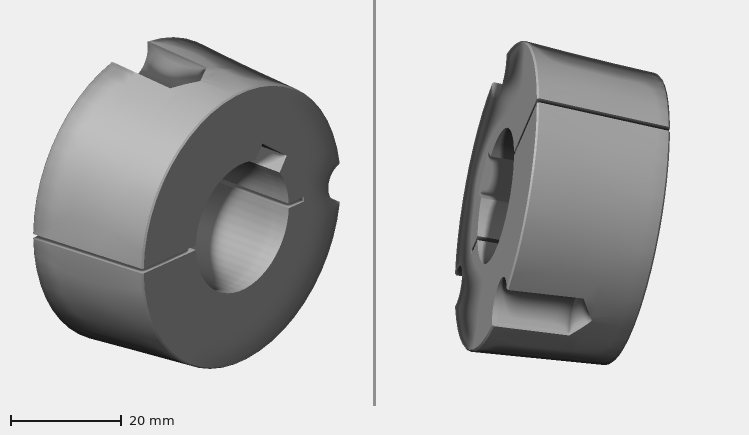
import cadquery as cq
import math

length = 25.4
half_height = 28.4
taper_angle = 4.0
edge_chamfer_length = 0.35
edge_chamfer_depth = 0.3
bore_radius = 12.5

slit_width = 0.9
slit_end_y = 16.6

keyway_width = 7.95
keyway_top = 15.15
keyway_angle = 55.0

screw_radius = 4.95
screw_center_y = -2.4
screw_center_z = 27.0
screw_depth = 14.4
drill_point_angle = 118.0

notch_radius = 3.9
notch_center_y = 27.05

lip_y = screw_center_y + math.sqrt(screw_radius**2 - (half_height - screw_center_z) ** 2)
wide_radius = math.hypot(half_height, lip_y)


def make_tapered_body():
    """Turned cone with a chamfer at both rims, bored through."""
    taper = math.tan(math.radians(taper_angle))
    narrow_chamfer_x = length - edge_chamfer_length
    narrow_radius = wide_radius - (narrow_chamfer_x - edge_chamfer_length) * taper
    profile = [
        (0, bore_radius),
        (0, wide_radius - edge_chamfer_depth),
        (edge_chamfer_length, wide_radius),
        (narrow_chamfer_x, narrow_radius),
        (length, narrow_radius - edge_chamfer_depth),
        (length, bore_radius),
    ]
    return cq.Workplane("XY").polyline(profile).close().revolve(360, (0, 0, 0), (1, 0, 0))


def make_slit():
    """Thin cut through the -Y wall, across the bore and part way into the +Y wall."""
    return (
        cq.Workplane("XY")
        .box(length, wide_radius + slit_end_y, slit_width, centered=(False, False, True))
        .translate((0, -wide_radius, 0))
    )


def make_keyway():
    """Full-length rectangular keyway opening into the bore."""
    return (
        cq.Workplane("XY")
        .box(length, keyway_top, keyway_width, centered=(False, False, True))
        .rotate((0, 0, 0), (1, 0, 0), keyway_angle)
    )


def make_screw_hole(side):
    """Blind drilled hole from the wide face; side is +1 for the top and -1 for the bottom."""
    point_length = screw_radius / math.tan(math.radians(drill_point_angle / 2))
    profile = [
        (0, 0),
        (0, screw_radius),
        (screw_depth, screw_radius),
        (screw_depth + point_length, 0),
    ]
    drill = cq.Workplane("XY").polyline(profile).close().revolve(360, (0, 0, 0), (1, 0, 0))
    return drill.translate((0, screw_center_y, side * screw_center_z))


def make_side_notch():
    """Full-length round notch in the +Y rim."""
    return cq.Workplane("YZ").center(notch_center_y, 0).circle(notch_radius).extrude(length)


result = make_tapered_body().cut(make_slit()).cut(make_keyway()).cut(make_side_notch())
for side in (1, -1):
    result = result.cut(make_screw_hole(side))